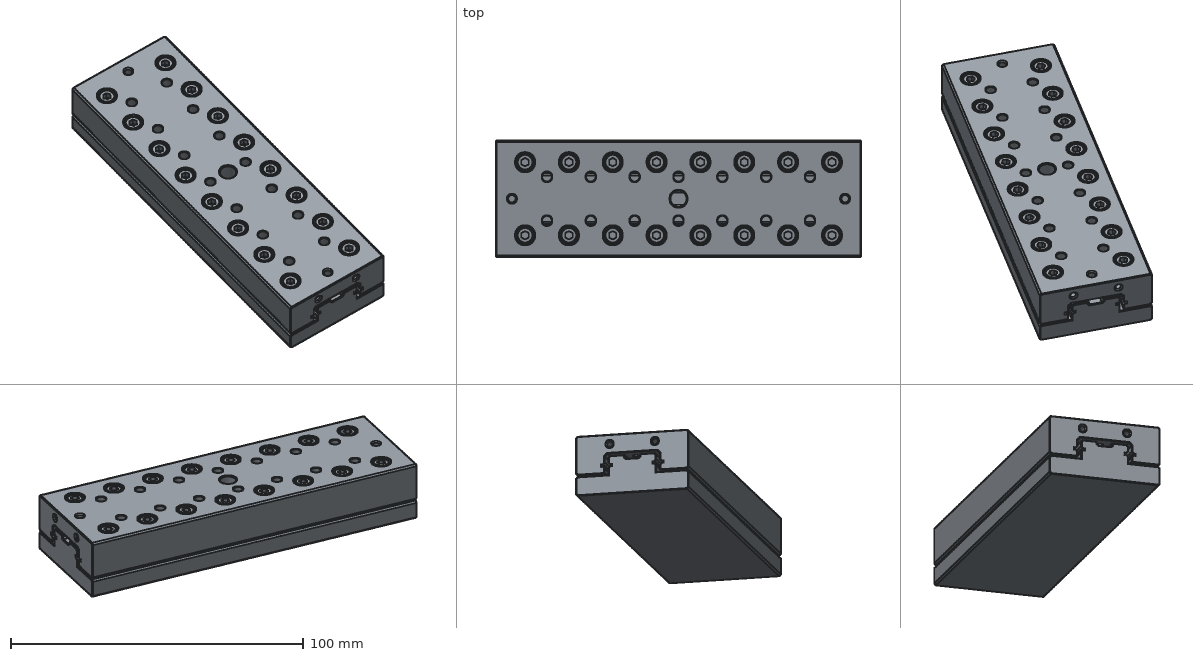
import cadquery as cq
import math

LENGTH = 125.0
WIDTH = 40.0
HEIGHT = 21.0
EDGE_CHAMFER = 0.6
END_CHAMFER = 0.3
HALF_WIDTH = WIDTH / 2

BASE_TOP = 6.8
TONGUE_HALF_WIDTH = 8.5
TONGUE_TOP = 13.5
TONGUE_CHAMFER = 0.6
RELIEF_HALF_WIDTH = 2.8
RELIEF_DEPTH = 1.4
RELIEF_CHAMFER = 0.6

CARRIAGE_BOTTOM = 7.2
CHANNEL_HALF_WIDTH = 9.8
CHANNEL_TOP = 14.2
CHANNEL_CORNER = 1.0
CHANNEL_MOUTH_CHAMFER = 0.4

TRACK_Y = (TONGUE_HALF_WIDTH + CHANNEL_HALF_WIDTH) / 2
TRACK_Z = 10.1
TRACK_BORE = 2.5
TRACK_SLOT_WIDTH = 4.0
TRACK_SLOT_HEIGHT = 0.9

ROW_PITCH = 15.0

SCREW_COUNT = 8
SCREW_Y = 12.5
SCREW_HEAD_DIAMETER = 5.5
SCREW_HEAD_CHAMFER = 0.2
SCREW_HEAD_SINK = 0.2
SCREW_BORE_DIAMETER = 6.2
SCREW_BORE_CHAMFER = 0.4
SCREW_BORE_DEPTH = 3.0
SOCKET_SIDES = 6
SOCKET_FLATS = 2.5
SOCKET_DEPTH = 2.2

MOUNT_COUNT = 7
MOUNT_Y = 7.5
MOUNT_DIAMETER = 3.2
MOUNT_CHAMFER = 0.2
LOCATING_X = 5.5
LOCATING_DIAMETER = 2.5
LOCATING_CHAMFER = 0.5
CENTRE_DIAMETER = 5.5
CENTRE_CHAMFER = 0.4

END_HOLE_Y = 8.0
END_HOLE_Z = 17.6
END_HOLE_DIAMETER = 2.0
END_HOLE_CHAMFER = 0.5
END_HOLE_DEPTH = 7.5
DRILL_POINT_ANGLE = 118.0

X_AXIS = cq.Vector(1, 0, 0)
DOWN = cq.Vector(0, 0, -1)


def mirrored_bar(right_half):
    """Bar along X, chamfered at both ends, whose (y, z) section mirrors the given half outline."""
    left_half = [(-y, z) for y, z in reversed(right_half)]
    bar = cq.Workplane("YZ").polyline(right_half + left_half).close().extrude(LENGTH)
    return bar.faces("<X or >X").chamfer(END_CHAMFER)


def row(count):
    """X positions of a row at the shared row pitch, centred on the length."""
    start = (LENGTH - (count - 1) * ROW_PITCH) / 2
    return [start + i * ROW_PITCH for i in range(count)]


def roller_tracks():
    """Cutter for both tracks: a round bore with a flat clearance slot across it."""
    centres = [(-TRACK_Y, TRACK_Z), (TRACK_Y, TRACK_Z)]
    plane = cq.Workplane("YZ").pushPoints(centres)
    bores = plane.circle(TRACK_BORE / 2).extrude(LENGTH)
    slots = plane.rect(TRACK_SLOT_WIDTH, TRACK_SLOT_HEIGHT).extrude(LENGTH)
    return bores.union(slots)


def chamfered_hole(start, direction, diameter, chamfer, depth):
    """Cutter for a straight hole with a 45 degree countersink at its mouth."""
    radius = diameter / 2
    bore = cq.Solid.makeCylinder(radius, depth, start, direction)
    mouth = cq.Solid.makeCone(radius + chamfer, radius, chamfer, start, direction)
    return bore.fuse(mouth)


def top_hole(x, y, diameter, chamfer):
    """Cutter for a hole from the top face of the carriage into the channel."""
    start = cq.Vector(x, y, HEIGHT)
    return chamfered_hole(start, DOWN, diameter, chamfer, HEIGHT - CHANNEL_TOP)


def end_hole(x, y, direction):
    """Cutter for a drilled hole with a conical bottom in an end face."""
    start = cq.Vector(x, y, END_HOLE_Z)
    radius = END_HOLE_DIAMETER / 2
    point_depth = radius / math.tan(math.radians(DRILL_POINT_ANGLE / 2))
    hole = chamfered_hole(start, direction, END_HOLE_DIAMETER, END_HOLE_CHAMFER, END_HOLE_DEPTH)
    tip = cq.Solid.makeCone(radius, 0, point_depth, start + direction * END_HOLE_DEPTH, direction)
    return hole.fuse(tip)


def screw_recess():
    """Cutter at the origin: what is removed around and inside one screw head."""
    recess = chamfered_hole(
        cq.Vector(0, 0, 0), DOWN, SCREW_BORE_DIAMETER, SCREW_BORE_CHAMFER, SCREW_BORE_DEPTH
    )
    head = (
        cq.Workplane("XY", origin=(0, 0, -SCREW_BORE_DEPTH))
        .circle(SCREW_HEAD_DIAMETER / 2)
        .extrude(SCREW_BORE_DEPTH - SCREW_HEAD_SINK)
        .faces(">Z")
        .chamfer(SCREW_HEAD_CHAMFER)
    )
    socket_corners = SOCKET_FLATS / math.cos(math.pi / SOCKET_SIDES)
    socket = (
        cq.Workplane("XY", origin=(0, 0, -SCREW_HEAD_SINK))
        .transformed(rotate=(0, 0, 90))
        .polygon(SOCKET_SIDES, socket_corners)
        .extrude(-SOCKET_DEPTH)
    )
    return cq.Workplane(recess).cut(head).union(socket).val()


def make_rail():
    """Base plate and tongue, with a relief along the tongue top and half of each track."""
    base_edge = HALF_WIDTH - EDGE_CHAMFER
    relief_floor = TONGUE_TOP - RELIEF_DEPTH
    relief_floor_half = RELIEF_HALF_WIDTH - RELIEF_CHAMFER
    outline = [
        (base_edge, 0),
        (HALF_WIDTH, EDGE_CHAMFER),
        (HALF_WIDTH, BASE_TOP - EDGE_CHAMFER),
        (base_edge, BASE_TOP),
        (TONGUE_HALF_WIDTH, BASE_TOP),
        (TONGUE_HALF_WIDTH, TONGUE_TOP - TONGUE_CHAMFER),
        (TONGUE_HALF_WIDTH - TONGUE_CHAMFER, TONGUE_TOP),
        (RELIEF_HALF_WIDTH, TONGUE_TOP),
        (RELIEF_HALF_WIDTH, relief_floor + RELIEF_CHAMFER),
        (relief_floor_half, relief_floor),
    ]
    return mirrored_bar(outline).cut(roller_tracks())


def make_carriage():
    """Channelled block with its top holes, screw heads, end holes and half of each track."""
    block_edge = HALF_WIDTH - EDGE_CHAMFER
    outline = [
        (CHANNEL_HALF_WIDTH - CHANNEL_CORNER, CHANNEL_TOP),
        (CHANNEL_HALF_WIDTH, CHANNEL_TOP - CHANNEL_CORNER),
        (CHANNEL_HALF_WIDTH, CARRIAGE_BOTTOM + CHANNEL_MOUTH_CHAMFER),
        (CHANNEL_HALF_WIDTH + CHANNEL_MOUTH_CHAMFER, CARRIAGE_BOTTOM),
        (block_edge, CARRIAGE_BOTTOM),
        (HALF_WIDTH, CARRIAGE_BOTTOM + EDGE_CHAMFER),
        (HALF_WIDTH, HEIGHT - EDGE_CHAMFER),
        (block_edge, HEIGHT),
    ]
    block = mirrored_bar(outline).cut(roller_tracks()).val()

    cutters = [top_hole(LENGTH / 2, 0, CENTRE_DIAMETER, CENTRE_CHAMFER)]
    for x in (LOCATING_X, LENGTH - LOCATING_X):
        cutters.append(top_hole(x, 0, LOCATING_DIAMETER, LOCATING_CHAMFER))

    recess = screw_recess()
    for side in (-1, 1):
        for x in row(MOUNT_COUNT):
            cutters.append(top_hole(x, side * MOUNT_Y, MOUNT_DIAMETER, MOUNT_CHAMFER))
        for x in row(SCREW_COUNT):
            cutters.append(recess.translate(cq.Vector(x, side * SCREW_Y, HEIGHT)))
        cutters.append(end_hole(0, side * END_HOLE_Y, X_AXIS))
        cutters.append(end_hole(LENGTH, side * END_HOLE_Y, -X_AXIS))
    return cq.Workplane(block.cut(*cutters))


rail = make_rail()
carriage = make_carriage()

result = cq.Compound.makeCompound([rail.val(), carriage.val()])